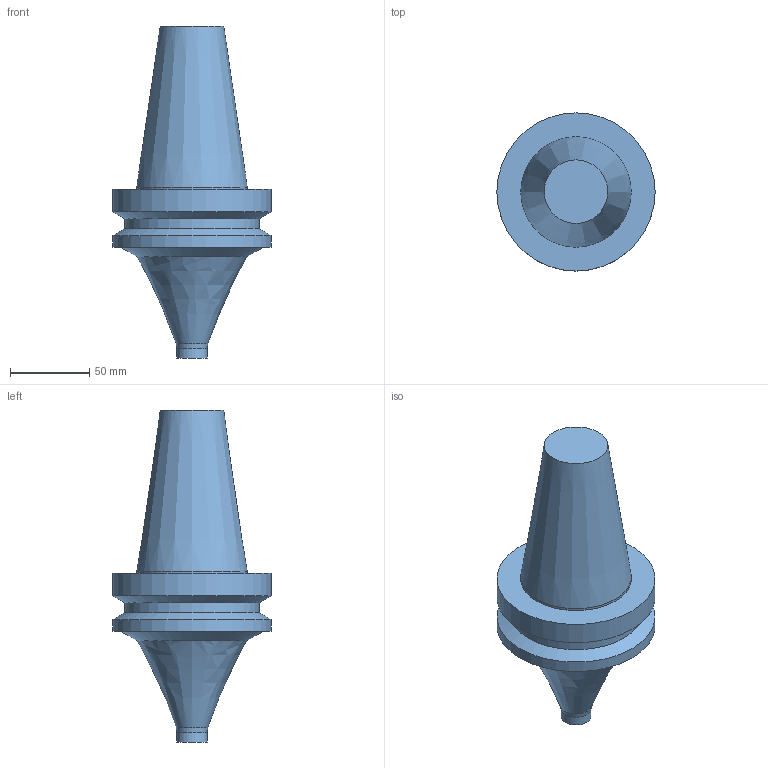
import cadquery as cq
import math


gauge_dia = 69.85
taper_length = 101.8
taper_ratio = 7 / 24
taper_tip_dia = gauge_dia - taper_length * taper_ratio

flange_dia = 100.0
flange_top = -1.5
flange_bottom = -38.0
groove_centre_z = -23.2
groove_mouth_width = 15.0
groove_root_dia = 85.0
flank_angle = math.radians(30)
groove_depth = (flange_dia - groove_root_dia) / 2
groove_flank_height = groove_depth * math.tan(flank_angle)
groove_root_width = groove_mouth_width - 2 * groove_flank_height

shoulder_top_dia = 90.0
shoulder_bottom_dia = 69.2
shoulder_height = 6.0
shoulder_bottom = flange_bottom - shoulder_height

tip_dia = 19.0
tip_length = 6.0
tip_bottom = -108.0
tip_top = tip_bottom + tip_length
collar_top_dia = 20.0
collar_length = 3.0
collar_top = tip_top + collar_length

nose_arc_radius = 360.0


def taper_points():
    """Spindle taper from its small end down to the flange, as (radius, height)."""
    return [
        (taper_tip_dia / 2, taper_length),
        (gauge_dia / 2, 0),
        (gauge_dia / 2, flange_top),
    ]


def flange_points():
    """Flange rim with its gripper groove, from top to bottom."""
    rim_radius = flange_dia / 2
    root_radius = groove_root_dia / 2
    return [
        (rim_radius, flange_top),
        (rim_radius, groove_centre_z + groove_mouth_width / 2),
        (root_radius, groove_centre_z + groove_root_width / 2),
        (root_radius, groove_centre_z - groove_root_width / 2),
        (rim_radius, groove_centre_z - groove_mouth_width / 2),
        (rim_radius, flange_bottom),
    ]


def shoulder_points():
    """Conical shoulder from the flange face to the start of the nose."""
    return [
        (shoulder_top_dia / 2, flange_bottom),
        (shoulder_bottom_dia / 2, shoulder_bottom),
    ]


def tool_holder():
    """Revolve the half outline about the Z axis."""
    upper_points = taper_points() + flange_points() + shoulder_points()
    outline = (
        cq.Workplane("XZ")
        .moveTo(0, taper_length)
        .polyline(upper_points, includeCurrent=True)
        .radiusArc((collar_top_dia / 2, collar_top), -nose_arc_radius)
        .lineTo(tip_dia / 2, tip_top)
        .lineTo(tip_dia / 2, tip_bottom)
        .lineTo(0, tip_bottom)
        .close()
    )
    return outline.revolve(360, (0, 0, 0), (0, 1, 0))


result = tool_holder()